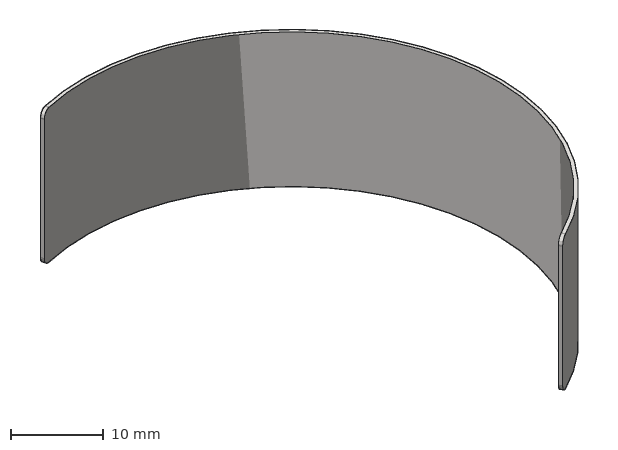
import cadquery as cq
import math

width = 61.75
depth = 28.3
height = 20.0
thickness = 0.5
corner_radius = 1.0

outer_radius = ((width / 2) ** 2 + depth**2) / (2 * depth)
inner_radius = outer_radius - thickness
half_angle = 2 * math.atan2(depth, width / 2)


def arc_point(radius, angle):
    """Point on a circle, with the angle measured from the +Y axis."""
    return (radius * math.sin(angle), radius * math.cos(angle))


band = (
    cq.Workplane("XY")
    .moveTo(*arc_point(outer_radius, -half_angle))
    .threePointArc((0, outer_radius), arc_point(outer_radius, half_angle))
    .lineTo(*arc_point(inner_radius, half_angle))
    .threePointArc((0, inner_radius), arc_point(inner_radius, -half_angle))
    .close()
    .extrude(height)
)

result = band.edges("%LINE and #Z").fillet(corner_radius)